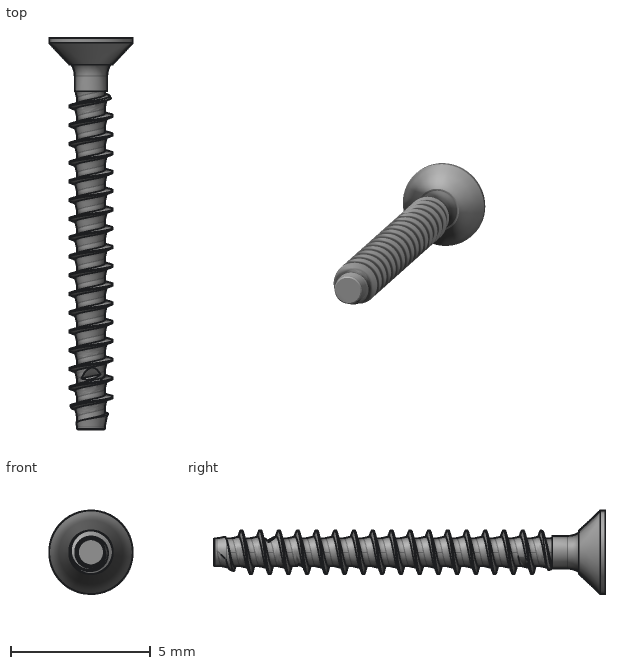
import cadquery as cq
import math

length = 14.0

head_radius = 1.5
rim_depth = 0.18
cone_end_depth = 0.95
cone_end_radius = 0.77

shank_radius = 0.59
neck_radius = 0.7
neck_end_depth = 1.36
shank_end_depth = 1.9

core_radius = 0.5
tip_chamfer = 0.04

crest_radius = 0.78
crest_width = 0.04
rib_base_width = 0.2
root_radius = 0.567
buried_radius = 0.46
thread_span = 10.05
turns_in_span = 15
pitch = thread_span / turns_in_span
root_slope_end = 0.55
first_crest_depth = 2.11
lead_turns = 1
helix_start_depth = first_crest_depth - lead_turns * pitch
helix_turns = 19

full_thread_start = 2.38
full_thread_end = 12.95
crest_end_depth = 13.55
root_end_depth = 13.89

notch_start_depth = 11.79
notch_bottom_depth = 12.1
notch_end_depth = 12.24
notch_bottom_height = 0.36
notch_width = 0.84


def screw_body():
    """Head, neck, shank and core turned around the Z axis, with depth along +Z."""
    neck_height = neck_end_depth - cone_end_depth
    neck_step = neck_radius - shank_radius
    fillet_radius = (neck_height**2 + neck_step**2) / (2 * neck_step)
    half_angle = math.asin(neck_height / fillet_radius) / 2
    neck_middle = (
        shank_radius + fillet_radius * (1 - math.cos(half_angle)),
        neck_end_depth - fillet_radius * math.sin(half_angle),
    )
    profile = (
        cq.Workplane("XZ")
        .lineTo(head_radius, 0)
        .lineTo(head_radius, rim_depth)
        .lineTo(cone_end_radius, cone_end_depth)
        .lineTo(neck_radius, cone_end_depth)
        .threePointArc(neck_middle, (shank_radius, neck_end_depth))
        .lineTo(shank_radius, shank_end_depth)
        .lineTo(core_radius, shank_end_depth)
        .lineTo(core_radius, length - tip_chamfer)
        .lineTo(core_radius - tip_chamfer, length)
        .lineTo(0, length)
        .close()
    )
    return profile.revolve(360, (0, 0), (0, 1))


def thread_rib():
    """Helical rib and its sloping root, trimmed so that both ends fade out."""
    helix = cq.Wire.makeHelix(pitch, helix_turns * pitch, core_radius)
    rib = (
        cq.Workplane("XZ")
        .polyline([
            (buried_radius, -rib_base_width / 2),
            (crest_radius, -crest_width / 2),
            (crest_radius, crest_width / 2),
            (root_radius, rib_base_width / 2),
            (buried_radius, root_slope_end),
        ])
        .close()
        .sweep(cq.Workplane(obj=helix), isFrenet=True)
        .translate((0, 0, helix_start_depth))
    )
    envelope = (
        cq.Workplane("XZ")
        .polyline([
            (0, shank_end_depth),
            (shank_radius, shank_end_depth),
            (crest_radius + crest_width, full_thread_start),
            (crest_radius + crest_width, full_thread_end),
            (root_radius, crest_end_depth),
            (core_radius, root_end_depth),
            (0, root_end_depth),
        ])
        .close()
        .revolve(360, (0, 0), (0, 1))
    )
    return rib.intersect(envelope)


def root_notch():
    """V-shaped cutter lying across the core, turned to follow the slope of the thread."""
    lead_angle = math.degrees(math.atan(pitch / (2 * math.pi * core_radius)))
    return (
        cq.Workplane("YZ")
        .polyline([
            (root_radius, notch_start_depth),
            (notch_bottom_height, notch_bottom_depth),
            (root_radius, notch_end_depth),
        ])
        .close()
        .extrude(notch_width / 2, both=True)
        .rotate((0, 0, notch_bottom_depth), (0, 1, notch_bottom_depth), lead_angle)
    )


screw = screw_body().union(thread_rib()).cut(root_notch())

result = screw.rotate((0, 0, 0), (1, 0, 0), 90)